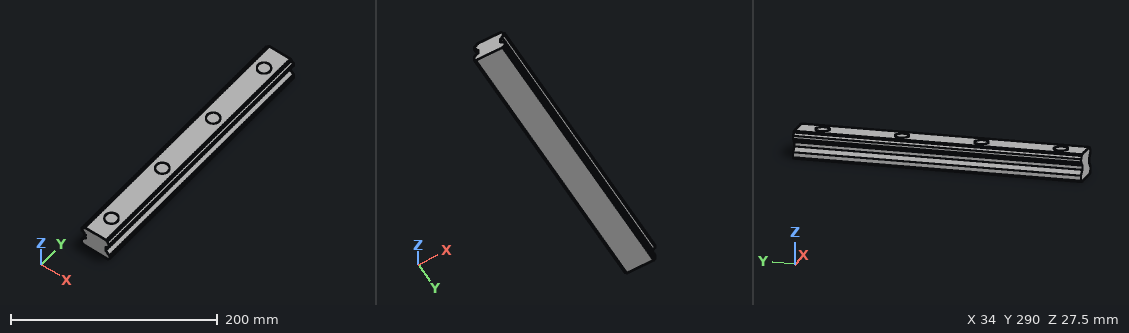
import cadquery as cq
import math

rail_width = 34.0
rail_length = 290.0
rail_height = 27.5

half_width = rail_width / 2
raceway_mid_height = 22.0
head_edge_height = 3.2
raceway_radius = 3.2
raceway_width = 2.6
raceway_height = 2.6
top_half_width = 13.0

waist_half_width = 12.4
waist_top = 15.9
waist_bottom = 11.6
foot_slope_angle = 45.0
foot_chamfer = 1.9

hole_count = 4
hole_pitch = 80.0
cap_diameter = 14.0
cap_recess = 0.1


def raceway_arc_middle(side):
    """Middle of a concave raceway arc; side is +1 for the upper groove and -1 for the lower."""
    chord = math.hypot(raceway_width, raceway_height)
    sagitta = raceway_radius - math.sqrt(raceway_radius**2 - (chord / 2) ** 2)
    chord_mid_x = half_width - raceway_width / 2
    chord_mid_z = head_edge_height / 2 + raceway_height / 2
    x = chord_mid_x - sagitta * raceway_height / chord
    z = chord_mid_z - sagitta * raceway_width / chord
    return x, raceway_mid_height + side * z


def make_rail():
    """Rail body: half of the cross-section, mirrored and extruded along Y."""
    raceway_inner_x = half_width - raceway_width
    head_edge_top = raceway_mid_height + head_edge_height / 2
    head_edge_bottom = raceway_mid_height - head_edge_height / 2
    foot_slope_drop = (half_width - waist_half_width) * math.tan(math.radians(foot_slope_angle))
    section = (
        cq.Workplane("XZ", origin=(0, rail_length / 2, 0))
        .moveTo(0, rail_height)
        .lineTo(top_half_width, rail_height)
        .lineTo(raceway_inner_x, head_edge_top + raceway_height)
        .threePointArc(raceway_arc_middle(1), (half_width, head_edge_top))
        .lineTo(half_width, head_edge_bottom)
        .threePointArc(raceway_arc_middle(-1), (raceway_inner_x, head_edge_bottom - raceway_height))
        .lineTo(waist_half_width, waist_top)
        .lineTo(waist_half_width, waist_bottom)
        .lineTo(half_width, waist_bottom - foot_slope_drop)
        .lineTo(half_width, foot_chamfer)
        .lineTo(half_width - foot_chamfer, 0)
        .lineTo(0, 0)
        .mirrorY()
    )
    return section.extrude(rail_length)


def cut_cap_recesses(body):
    """Shallow round recesses where the caps close the mounting holes."""
    return (
        body.faces(">Z")
        .workplane(origin=(0, 0, rail_height))
        .rarray(1, hole_pitch, 1, hole_count)
        .circle(cap_diameter / 2)
        .cutBlind(-cap_recess)
    )


result = cut_cap_recesses(make_rail())